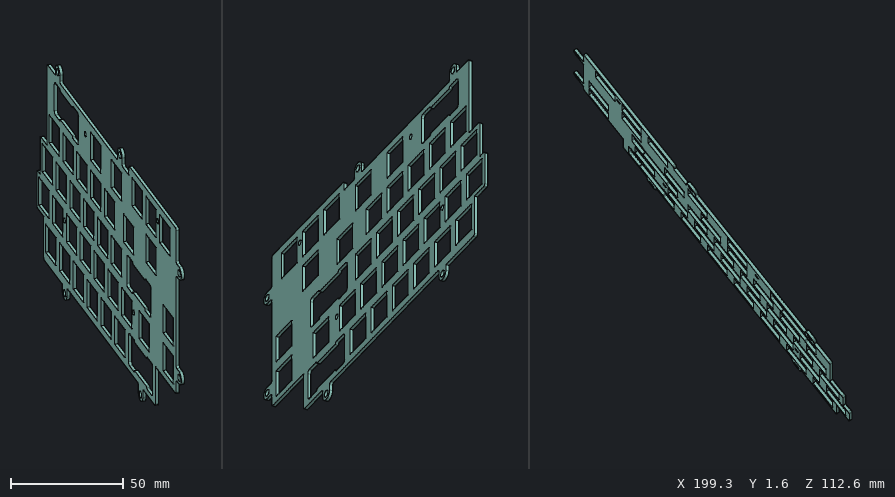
import cadquery as cq
WIDTH = 199.33
HEIGHT = 112.6
THICKNESS = 1.6

UNIT = 19.05
SWITCH_SIZE = 14.0
FIRST_COLUMN_X = 9.65
BOTTOM_ROW_Z = 18.2

TAB_RADIUS = 3.2
TAB_HOLE_DIAMETER = 3.2
TAB_ROOT_FILLET = 1.0
SUPPORT_HOLE_DIAMETER = 2.4
SUPPORT_HOLE_RISE = 2.4

STABILIZER_LENGTH = 33.0
STABILIZER_HEIGHT = 16.0
STABILIZER_WAIST_LENGTH = 17.2
STABILIZER_FILLET = 1.4
STABILIZER_WAIST_FILLET = 0.45

OUTLINE_FILLET = 1.0
MARGIN = 10.95
SIDE_MARGIN = 9.88
SHIFT_DROP = 0.15
CORNER_STEP = 1.1
LOWER_RIGHT_X = 163.4
LOWER_RIGHT_Z = 27.0

BOTTOM_ROW, SHIFT_ROW, HOME_ROW, UPPER_ROW, NUMBER_ROW = range(5)
CLUSTER_ROW = 4.25

BOTTOM_START, HOME_START, UPPER_START = 0.5, 0.25, 0.75

LAST_COLUMN = 9
SWITCH_ROWS = [
    (BOTTOM_ROW, [BOTTOM_START + i for i in range(6)]),
    (SHIFT_ROW, list(range(7)) + [7.25, LAST_COLUMN]),
    (HOME_ROW, [HOME_START + i for i in range(6)] + [LAST_COLUMN]),
    (UPPER_ROW, [UPPER_START + i for i in range(5)] + [6.125]),
    (NUMBER_ROW, [3.75, 5.25]),
    (CLUSTER_ROW, [6.75, 7.75, 8.75]),
    (CLUSTER_ROW - 1, [7.75]),
]

STABILIZERS = [(7, BOTTOM_ROW), (6.875, HOME_ROW), (1.625, NUMBER_ROW)]
SUPPORT_HOLES = [(1.5, SHIFT_ROW), (6.5, SHIFT_ROW), (3, NUMBER_ROW), (8.25, CLUSTER_ROW)]

TOP_TAB_COLUMNS = [1, 5.5]
BOTTOM_TAB_COLUMNS = [1.5, 7]
RIGHT_TAB_ROWS = [SHIFT_ROW, 3.75]
CLUSTER_LEFT_COLUMN = 6.15


def column_x(column):
    return FIRST_COLUMN_X + column * UNIT


def row_z(row):
    return BOTTOM_ROW_Z + row * UNIT


def plate_sketch():
    """XZ workplane whose extrusion runs toward +Y."""
    return cq.Workplane("XZ", origin=(0, THICKNESS, 0))


BOTTOM_Z = row_z(BOTTOM_ROW) - MARGIN
TOP_Z = row_z(NUMBER_ROW) + MARGIN
CLUSTER_TOP_Z = row_z(CLUSTER_ROW) + MARGIN
HOME_TOP_Z = row_z(HOME_ROW + 0.5)
SHIFT_TOP_Z = row_z(SHIFT_ROW + 0.5) - SHIFT_DROP
SHIFT_BOTTOM_Z = row_z(BOTTOM_ROW + 0.5)
RIGHT_X = column_x(LAST_COLUMN) + MARGIN


def fillet_corners(plate, corners, radius):
    """Round the plate's through-thickness edge nearest to each (x, z) corner."""
    for x, z in corners:
        corner_edge = cq.NearestToPointSelector((x, THICKNESS / 2, z))
        plate = plate.edges("|Y").edges(corner_edge).fillet(radius)
    return plate


def make_body():
    """Stepped plate outline, following the stagger of the rows on the left."""
    bottom_left_x = column_x(BOTTOM_START) - SIDE_MARGIN
    home_left_x = column_x(HOME_START) - SIDE_MARGIN
    upper_left_x = column_x(UPPER_START) - SIDE_MARGIN
    top_step_x = column_x(TOP_TAB_COLUMNS[0])
    bottom_step_x = column_x(BOTTOM_TAB_COLUMNS[0])
    cluster_left_x = column_x(CLUSTER_LEFT_COLUMN)
    bottom_left = (bottom_left_x, BOTTOM_Z - CORNER_STEP)
    bottom_right = (LOWER_RIGHT_X, BOTTOM_Z)
    right_bottom = (RIGHT_X, LOWER_RIGHT_Z)
    right_top = (RIGHT_X, CLUSTER_TOP_Z)
    cluster_top_left = (cluster_left_x, CLUSTER_TOP_Z)
    upper_top_left = (upper_left_x, TOP_Z + CORNER_STEP)
    home_top_left = (home_left_x, HOME_TOP_Z)
    shift_top_left = (0, SHIFT_TOP_Z)
    shift_bottom_left = (0, SHIFT_BOTTOM_Z)
    outline = [
        bottom_left,
        (bottom_step_x, BOTTOM_Z - CORNER_STEP),
        (bottom_step_x, BOTTOM_Z),
        bottom_right,
        (LOWER_RIGHT_X, LOWER_RIGHT_Z),
        right_bottom,
        right_top,
        cluster_top_left,
        (cluster_left_x, TOP_Z),
        (top_step_x, TOP_Z),
        (top_step_x, TOP_Z + CORNER_STEP),
        upper_top_left,
        (upper_left_x, HOME_TOP_Z),
        home_top_left,
        (home_left_x, SHIFT_TOP_Z),
        shift_top_left,
        shift_bottom_left,
        (bottom_left_x, SHIFT_BOTTOM_Z),
    ]
    rounded_corners = [
        bottom_left,
        bottom_right,
        right_bottom,
        right_top,
        cluster_top_left,
        upper_top_left,
        home_top_left,
        shift_top_left,
        shift_bottom_left,
    ]
    body = plate_sketch().polyline(outline).close().extrude(THICKNESS)
    return fillet_corners(body, rounded_corners, OUTLINE_FILLET)


def tab_centers():
    """Screw centre of each tab with its outward direction in X and Z."""
    top = [(column_x(c), HEIGHT - TAB_RADIUS, 0, 1) for c in TOP_TAB_COLUMNS]
    bottom = [(column_x(c), TAB_RADIUS, 0, -1) for c in BOTTOM_TAB_COLUMNS]
    right = [(WIDTH - TAB_RADIUS, row_z(r), 1, 0) for r in RIGHT_TAB_ROWS]
    return top + bottom + right


def make_tab(x, z, out_x, out_z):
    """Round-ended tab reaching two radii inward from its screw centre."""
    side = 2 * TAB_RADIUS
    stem_center = (x - out_x * TAB_RADIUS, z - out_z * TAB_RADIUS)
    head = plate_sketch().center(x, z).circle(TAB_RADIUS).extrude(THICKNESS)
    stem = plate_sketch().center(*stem_center).rect(side, side).extrude(THICKNESS)
    return head.union(stem)


def tab_root_points():
    """Rounded inner corners of the tabs; those on the stepped plate corners stay sharp."""
    first_top, second_top = [column_x(c) for c in TOP_TAB_COLUMNS]
    first_bottom, second_bottom = [column_x(c) for c in BOTTOM_TAB_COLUMNS]
    points = [
        (first_top + TAB_RADIUS, TOP_Z),
        (second_top - TAB_RADIUS, TOP_Z),
        (second_top + TAB_RADIUS, TOP_Z),
        (first_bottom + TAB_RADIUS, BOTTOM_Z),
        (second_bottom - TAB_RADIUS, BOTTOM_Z),
        (second_bottom + TAB_RADIUS, BOTTOM_Z),
    ]
    for row in RIGHT_TAB_ROWS:
        points.append((RIGHT_X, row_z(row) - TAB_RADIUS))
        points.append((RIGHT_X, row_z(row) + TAB_RADIUS))
    return points


def make_plate():
    plate = make_body()
    for tab in tab_centers():
        plate = plate.union(make_tab(*tab))
    plate = plate.clean()
    return fillet_corners(plate, tab_root_points(), TAB_ROOT_FILLET)


def cut_switches(plate):
    points = [(column_x(c), row_z(row)) for row, columns in SWITCH_ROWS for c in columns]
    openings = plate_sketch().pushPoints(points).rect(SWITCH_SIZE, SWITCH_SIZE).extrude(THICKNESS)
    return plate.cut(openings)


def cut_stabilizers(plate):
    points = [(column_x(c), row_z(row)) for c, row in STABILIZERS]
    end_length = (STABILIZER_LENGTH - STABILIZER_WAIST_LENGTH) / 2
    end_offset = (STABILIZER_LENGTH - end_length) / 2
    for x, z in points:
        opening = plate_sketch().center(x, z).rect(STABILIZER_LENGTH, SWITCH_SIZE).extrude(THICKNESS)
        for side in (-1, 1):
            end = plate_sketch().center(x + side * end_offset, z)
            opening = opening.union(end.rect(end_length, STABILIZER_HEIGHT).extrude(THICKNESS))
        opening = opening.clean()
        opening = opening.edges("|Y").edges("not(<X or >X)").fillet(STABILIZER_WAIST_FILLET)
        opening = opening.edges("|Y").edges("<X or >X").fillet(STABILIZER_FILLET)
        plate = plate.cut(opening)
    return plate


def cut_holes(plate):
    screws = [(x, z) for x, z, _, _ in tab_centers()]
    supports = [(column_x(c), row_z(row) + SUPPORT_HOLE_RISE) for c, row in SUPPORT_HOLES]
    for points, diameter in ((screws, TAB_HOLE_DIAMETER), (supports, SUPPORT_HOLE_DIAMETER)):
        plate = plate.cut(plate_sketch().pushPoints(points).circle(diameter / 2).extrude(THICKNESS))
    return plate


result = cut_holes(cut_stabilizers(cut_switches(make_plate())))